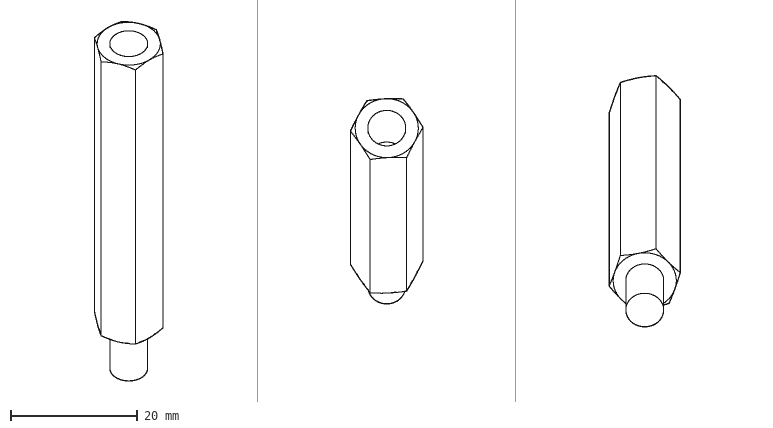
import cadquery as cq
import math

total_length = 70.0
stud_length = 10.0
hex_length = total_length - stud_length
across_flats = 10.0
across_corners = across_flats / math.cos(math.pi / 6)

thread_diameter = 6.0
hole_depth = 14.0

chamfer_angle = math.radians(30)
chamfer_face_diameter = across_flats
chamfer_height = (across_corners - chamfer_face_diameter) / 2 * math.tan(chamfer_angle)


def make_chamfer_envelope():
    """Turned cylinder with conical ends that trims the hexagon's corners."""
    face_radius = chamfer_face_diameter / 2
    corner_radius = across_corners / 2
    return (
        cq.Workplane("XZ")
        .moveTo(0, stud_length)
        .lineTo(face_radius, stud_length)
        .lineTo(corner_radius, stud_length + chamfer_height)
        .lineTo(corner_radius, total_length - chamfer_height)
        .lineTo(face_radius, total_length)
        .lineTo(0, total_length)
        .close()
        .revolve(360, (0, 0, 0), (0, 1, 0))
    )


def make_spacer():
    """Hexagonal spacer with flats on +X and -X and a blind hole in its top."""
    hexagon = (
        cq.Workplane("XY")
        .workplane(offset=stud_length)
        .transformed(rotate=(0, 0, 90))
        .polygon(6, across_corners)
        .extrude(hex_length)
    )
    hole = (
        cq.Workplane("XY")
        .workplane(offset=total_length - hole_depth)
        .circle(thread_diameter / 2)
        .extrude(hole_depth)
    )
    return hexagon.intersect(make_chamfer_envelope()).cut(hole)


def make_stud():
    """Plain round stud seated against the lower face of the spacer."""
    return cq.Workplane("XY").circle(thread_diameter / 2).extrude(stud_length)


spacer = make_spacer()
stud = make_stud()

result = cq.Compound.makeCompound([spacer.val(), stud.val()])